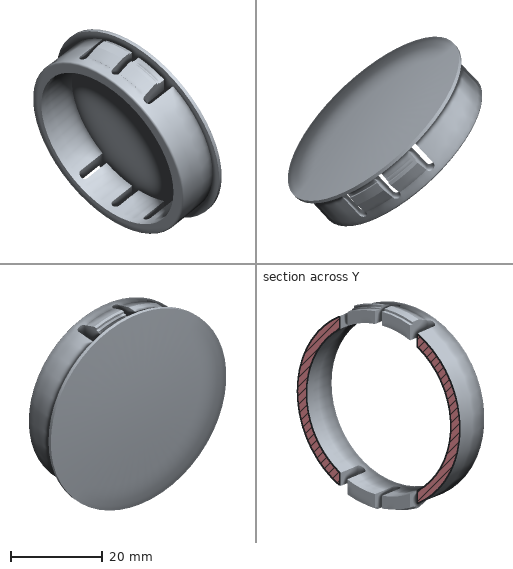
import cadquery as cq

total_depth = 11.5
flange_radius = 24.2
flange_thickness = 0.8
dome_height = 0.8
flange_front = total_depth - dome_height - flange_thickness
flange_back = flange_front + flange_thickness

rim_radius = 22.35
skirt_root_radius = 22.25
bore_radius = 19.65
rim_fillet = 0.5

slot_width = 1.95
slot_pitch = 9.55
slot_center_y = 2.75
tab_gap = 0.77
tab_end = flange_front - tab_gap
tab_inner_x = slot_width / 2
tab_outer_x = slot_pitch - slot_width / 2
window_half_width = slot_pitch + slot_width / 2

barb_radius = 23.35
barb_ramp_end = 5.85
middle_step_radius = 22.85
low_step_radius = 22.6
single_step_y = 8.25
first_step_y = 6.7
second_step_y = 7.45


def make_cap():
    """Flange disc with a shallow dome on its back."""
    dome_mid_radius = flange_radius / 2
    sphere_radius = (flange_radius**2 + dome_height**2) / (2 * dome_height)
    dome_mid_y = total_depth - sphere_radius + (sphere_radius**2 - dome_mid_radius**2) ** 0.5
    return (
        cq.Workplane("XY")
        .moveTo(0, flange_front)
        .lineTo(flange_radius, flange_front)
        .lineTo(flange_radius, flange_back)
        .threePointArc((dome_mid_radius, dome_mid_y), (0, total_depth))
        .close()
        .revolve(360, (0, 0), (0, 1))
    )


def make_skirt():
    """Tapered tube with a rounded outer rim."""
    skirt = (
        cq.Workplane("XY")
        .polyline([
            (bore_radius, 0),
            (rim_radius, 0),
            (skirt_root_radius, flange_front),
            (bore_radius, flange_front),
        ])
        .close()
        .revolve(360, (0, 0), (0, 1))
    )
    return skirt.faces("<Y").edges(cq.selectors.RadiusNthSelector(-1)).fillet(rim_fillet)


def make_slots():
    """Three round-ended slots and the gap behind the tabs, through both sides."""
    cut_height = 2 * flange_radius
    slot_length = flange_front - slot_center_y
    gap_center_y = (tab_end + flange_front) / 2
    cutter = (
        cq.Workplane("XY")
        .center(0, gap_center_y)
        .box(2 * window_half_width, tab_gap, cut_height)
    )
    for x in (-slot_pitch, 0, slot_pitch):
        straight = (
            cq.Workplane("XY")
            .center(x, slot_center_y + slot_length / 2)
            .box(slot_width, slot_length, cut_height)
        )
        round_end = (
            cq.Workplane("XY")
            .center(x, slot_center_y)
            .circle(slot_width / 2)
            .extrude(cut_height / 2, both=True)
        )
        cutter = cutter.union(straight).union(round_end)
    return cutter


def make_barb(steps, side):
    """Upper tab on the given X side; steps are (start y, radius) behind the barb crest."""
    profile = [(bore_radius, slot_center_y), (rim_radius, slot_center_y), (barb_radius, barb_ramp_end)]
    radius = barb_radius
    for step_y, step_radius in steps:
        profile += [(radius, step_y), (step_radius, step_y)]
        radius = step_radius
    profile += [(radius, tab_end), (bore_radius, tab_end)]
    ring = cq.Workplane("XY").polyline(profile).close().revolve(360, (0, 0), (0, 1))
    tab_center_x = side * (tab_inner_x + tab_outer_x) / 2
    tab_space = (
        cq.Workplane("XY")
        .center(tab_center_x, flange_front / 2)
        .box(tab_outer_x - tab_inner_x, flange_front, flange_radius, centered=(True, True, False))
    )
    return ring.intersect(tab_space)


single_step = [(single_step_y, middle_step_radius)]
double_step = [(first_step_y, middle_step_radius), (second_step_y, low_step_radius)]

result = make_skirt().cut(make_slots()).union(make_cap())

for tab_steps, tab_side in ((single_step, -1), (double_step, 1)):
    tab = make_barb(tab_steps, tab_side)
    for turn in (0, 180):
        result = result.union(tab.rotate((0, 0, 0), (0, 1, 0), turn))